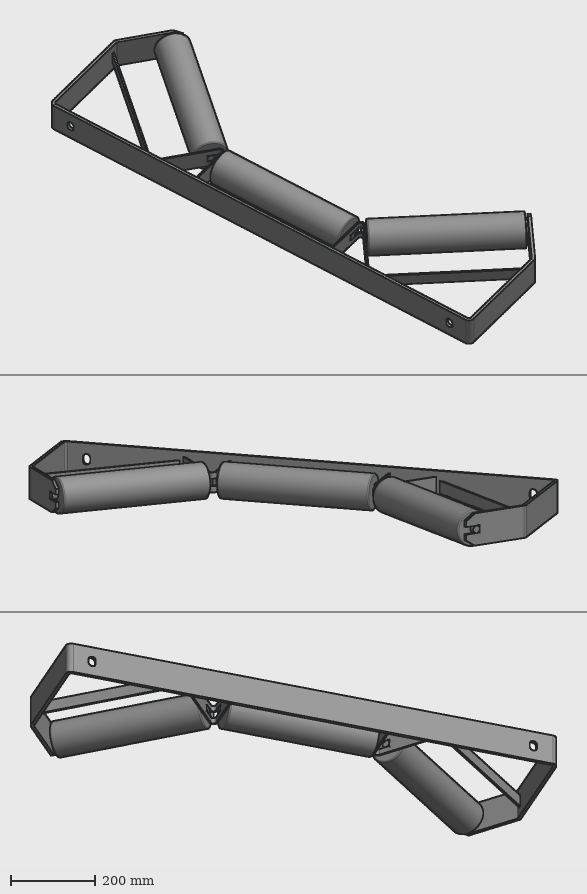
import cadquery as cq
import math


frame_length = 1240.0
strip_width = 79.0
frame_thickness = 8.0
frame_bend_radius = 14.0
upright_height = 263.0
trough_angle = 40.0
arm_length = 167.0
arm_corner_length = 25.0
arm_corner_width = 16.0
mount_hole_x = 558.0
mount_hole_width = 19.0
mount_hole_height = 26.0

roller_diameter = 89.0
roller_length = 378.0
roller_rounding = 3.0
shaft_diameter = 19.0
wing_axis_on_arm = 138.0
wing_end_gap = 6.0
center_axis_y = 100.0

bracket_thickness = 4.0
bracket_leg_x = 197.0
bracket_foot_x = 316.0
bracket_bend_radius = 10.5
bracket_width = 50.0

strut_thickness = 5.0
strut_width = 31.0
strut_top_y = 249.0

half_length = frame_length / 2
shaft_radius = shaft_diameter / 2
slot_reach = bracket_leg_x
sin_trough = math.sin(math.radians(trough_angle))
cos_trough = math.cos(math.radians(trough_angle))
tan_trough = sin_trough / cos_trough
rail_top = frame_thickness
upright_inner_x = half_length - frame_thickness


def up_slope(start, distance):
    """Point reached by going up the left arm or sloping leg from start."""
    return (start[0] + distance * sin_trough, start[1] + distance * cos_trough)


def outward(start, distance):
    """Point reached by going out and up along the left wing roller axis."""
    return (start[0] - distance * cos_trough, start[1] + distance * sin_trough)


def prism(points, width):
    """XY outline extruded to a width that is centered on Z = 0."""
    return cq.Workplane("XY").polyline(points).close().extrude(width / 2, both=True)


def round_bend(strip, corner, radius):
    """Round the strip edge that runs along Z through an XY corner."""
    return strip.edges(cq.NearestToPointSelector((corner[0], corner[1], 0))).fillet(radius)


def mirrored(points):
    """Points reflected to +X, in reverse order so that the outline continues."""
    return [(-x, y) for x, y in reversed(points)]


def mirror_body(body):
    """Copy of a -X side body or cutter on the +X side."""
    return body.mirror("YZ")


def slope_plane(start):
    """Plane on a left sloping face: local X up the slope, local Y across the strip."""
    return cq.Plane(
        origin=(start[0], start[1], 0),
        xDir=(sin_trough, cos_trough, 0),
        normal=(-cos_trough, sin_trough, 0),
    )


arm_bend = (-half_length, upright_height)
bracket_foot = (-bracket_foot_x, rail_top)
wing_outer_point = up_slope(arm_bend, wing_axis_on_arm)


def distance_outward(point):
    """Position of a point measured along the left wing roller axis."""
    return -point[0] * cos_trough + point[1] * sin_trough


wing_span = distance_outward(arm_bend) - distance_outward(bracket_foot)
wing_center_depth = frame_thickness + wing_end_gap + roller_length / 2
wing_center = outward(wing_outer_point, -wing_center_depth)


def shaft_slot(plane, axis_position, depth):
    """Cutter for an open slot from just below a shaft past the free end of a strip."""
    slot_bottom = axis_position - shaft_radius
    return (
        cq.Workplane(plane)
        .center(slot_bottom + slot_reach / 2, 0)
        .rect(slot_reach, shaft_diameter)
        .extrude(depth, both=True)
    )


def inner_loop(inner):
    """Inner corners from the right arm tip back round to the left arm tip."""
    return [(-x, y) for x, y in inner] + inner[::-1]


def make_frame():
    """Strip bent into a rail, two uprights and two leaning arms with shaft slots."""
    bend_drop = frame_thickness * math.tan(math.radians(trough_angle / 2))
    arm_tip = up_slope(arm_bend, arm_length)
    outer = [arm_tip, arm_bend, (-half_length, 0)]
    inner = [
        outward(arm_tip, -frame_thickness),
        (-upright_inner_x, upright_height - bend_drop),
        (-upright_inner_x, rail_top),
    ]
    frame = prism(outer + mirrored(outer) + inner_loop(inner), strip_width)

    inner_radius = frame_bend_radius - frame_thickness
    for corners, radius in ((outer, frame_bend_radius), (inner, inner_radius)):
        for x, y in corners[1:]:
            frame = round_bend(frame, (x, y), radius)
            frame = round_bend(frame, (-x, y), radius)

    for cutter in (arm_corner_cutter(), arm_slot_cutter()):
        frame = frame.cut(cutter).cut(mirror_body(cutter))
    return frame.cut(mount_holes())


def arm_corner_cutter():
    """Wedges that bevel both corners of the left arm tip."""
    half_width = strip_width / 2
    wedge = (
        cq.Workplane(slope_plane(arm_bend))
        .polyline([
            (arm_length, half_width),
            (arm_length - arm_corner_length, half_width),
            (arm_length, half_width - arm_corner_width),
        ])
        .close()
        .extrude(2 * frame_thickness, both=True)
    )
    return wedge.union(wedge.mirror("XY"))


def arm_slot_cutter():
    """Open slot in the left arm that holds the wing roller shaft."""
    return shaft_slot(slope_plane(arm_bend), wing_axis_on_arm, 2 * frame_thickness)


def mount_holes():
    """Slotted holes through the rail, taller than they are wide."""
    return (
        cq.Workplane("XZ")
        .pushPoints([(-mount_hole_x, 0), (mount_hole_x, 0)])
        .slot2D(mount_hole_height, mount_hole_width, 90)
        .extrude(-frame_thickness)
    )


def make_bracket():
    """Left inner bracket: a sloping leg and an upright leg joined by a tight bend."""
    apex = (-bracket_leg_x, rail_top + (bracket_foot_x - bracket_leg_x) / tan_trough)
    inner_leg_x = bracket_leg_x + bracket_thickness
    inner_foot_x = bracket_foot_x - bracket_thickness / cos_trough
    inner_apex = (-inner_leg_x, rail_top + (inner_foot_x - inner_leg_x) / tan_trough)
    bracket = prism(
        [
            bracket_foot,
            apex,
            (-bracket_leg_x, rail_top),
            (-inner_leg_x, rail_top),
            inner_apex,
            (-inner_foot_x, rail_top),
        ],
        bracket_width,
    )
    bracket = round_bend(bracket, apex, bracket_bend_radius)
    bracket = round_bend(bracket, inner_apex, bracket_bend_radius - bracket_thickness)

    foot_offset = (wing_outer_point[0] - bracket_foot[0], wing_outer_point[1] - bracket_foot[1])
    wing_axis_on_leg = foot_offset[0] * sin_trough + foot_offset[1] * cos_trough
    slot_depth = 2 * bracket_thickness
    wing_slot = shaft_slot(slope_plane(bracket_foot), wing_axis_on_leg, slot_depth)
    leg_plane = cq.Plane(origin=(-bracket_leg_x, 0, 0), xDir=(0, 1, 0), normal=(1, 0, 0))
    center_slot = shaft_slot(leg_plane, center_axis_y, slot_depth)
    return bracket.cut(wing_slot).cut(center_slot)


def make_strut():
    """Left strut from the upright down to the rail, parallel to the wing roller."""
    foot_x = -upright_inner_x + (strut_top_y - rail_top) / tan_trough
    return prism(
        [
            (-upright_inner_x, strut_top_y),
            (foot_x, rail_top),
            (foot_x - strut_thickness / sin_trough, rail_top),
            (-upright_inner_x, strut_top_y - strut_thickness / cos_trough),
        ],
        strut_width,
    )


def make_roller(left_reach, right_reach):
    """Roller along X, centered at the origin, with its shaft reaching out both ends."""
    shell = (
        cq.Workplane("YZ", origin=(-roller_length / 2, 0, 0))
        .circle(roller_diameter / 2)
        .extrude(roller_length)
        .faces("<X or >X")
        .fillet(roller_rounding)
    )
    shaft = (
        cq.Workplane("YZ", origin=(-left_reach, 0, 0))
        .circle(shaft_radius)
        .extrude(left_reach + right_reach)
    )
    return shell.union(shaft)


def make_wing_roller():
    """Left roller, carried by the arm and the sloping leg of the bracket."""
    bracket_reach = wing_span - wing_center_depth + bracket_thickness
    return (
        make_roller(wing_center_depth, bracket_reach)
        .rotate((0, 0, 0), (0, 0, 1), -trough_angle)
        .translate((wing_center[0], wing_center[1], 0))
    )


def make_center_roller():
    """Level roller between the upright legs of the two brackets."""
    reach = bracket_leg_x + bracket_thickness
    return make_roller(reach, reach).translate((0, center_axis_y, 0))


frame = make_frame()
center_roller = make_center_roller()
side_bodies = []
for make_body in (make_strut, make_bracket, make_wing_roller):
    body = make_body()
    side_bodies += [body.val(), mirror_body(body).val()]

result = cq.Compound.makeCompound([frame.val(), center_roller.val(), *side_bodies])